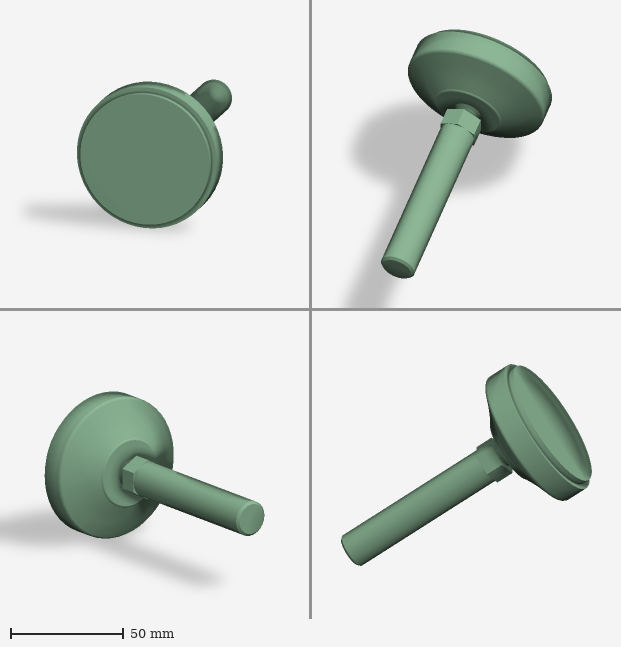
import cadquery as cq
import math

total_length = 111.0

pad_diameter = 60.0
pad_height = 3.0
rim_diameter = 65.0
rim_top = 12.7
shoulder_radius = 31.3
shoulder_height = 14.3
crown_edge_radius = 15.9
crown_edge_height = 22.8
crown_flat_radius = 15.1
foot_top = 23.4
flank_sag = 0.3
shoulder_bulge = 0.3
crown_bulge = 0.1

neck_diameter = 11.0
collar_diameter = 12.8
collar_top = 24.8

hex_bottom = 27.8
hex_top = 36.0
stud_diameter = 16.0
hex_across_flats = stud_diameter
stud_chamfer = 1.1


def middle_of_arc(start, end, bulge):
    """Point offset by bulge to the right of the chord from start to end."""
    dx = end[0] - start[0]
    dy = end[1] - start[1]
    chord = math.hypot(dx, dy)
    middle_x = (start[0] + end[0]) / 2 + bulge * dy / chord
    middle_y = (start[1] + end[1]) / 2 - bulge * dx / chord
    return (middle_x, middle_y)


def make_foot():
    """Revolved foot with a stepped pad, rounded edges and a hollow flank."""
    rim_edge = (rim_diameter / 2, rim_top)
    shoulder = (shoulder_radius, shoulder_height)
    crown_edge = (crown_edge_radius, crown_edge_height)
    crown_flat = (crown_flat_radius, foot_top)
    profile = (
        cq.Workplane("XY")
        .lineTo(pad_diameter / 2, 0)
        .lineTo(pad_diameter / 2, pad_height)
        .lineTo(rim_diameter / 2, pad_height)
        .lineTo(*rim_edge)
        .threePointArc(middle_of_arc(rim_edge, shoulder, shoulder_bulge), shoulder)
        .threePointArc(middle_of_arc(shoulder, crown_edge, -flank_sag), crown_edge)
        .threePointArc(middle_of_arc(crown_edge, crown_flat, crown_bulge), crown_flat)
        .lineTo(0, foot_top)
        .close()
    )
    return profile.revolve(360, (0, 0, 0), (0, 1, 0))


def make_spindle():
    """Revolved neck with a conical collar, and the stud with a chamfered end."""
    neck_radius = neck_diameter / 2
    stud_radius = stud_diameter / 2
    profile = (
        cq.Workplane("XY")
        .moveTo(0, foot_top)
        .lineTo(collar_diameter / 2, foot_top)
        .lineTo(neck_radius, collar_top)
        .lineTo(neck_radius, hex_bottom)
        .lineTo(stud_radius, hex_bottom)
        .lineTo(stud_radius, total_length - stud_chamfer)
        .lineTo(stud_radius - stud_chamfer, total_length)
        .lineTo(0, total_length)
        .close()
    )
    return profile.revolve(360, (0, 0, 0), (0, 1, 0))


def make_hexagon():
    """Wrench hexagon with two flats facing -X and +X."""
    across_corners = hex_across_flats / math.cos(math.pi / 6)
    return (
        cq.Workplane("XZ", origin=(0, hex_bottom, 0))
        .transformed(rotate=(0, 0, 90))
        .polygon(6, across_corners)
        .extrude(hex_bottom - hex_top)
    )


result = make_foot().union(make_spindle()).union(make_hexagon())